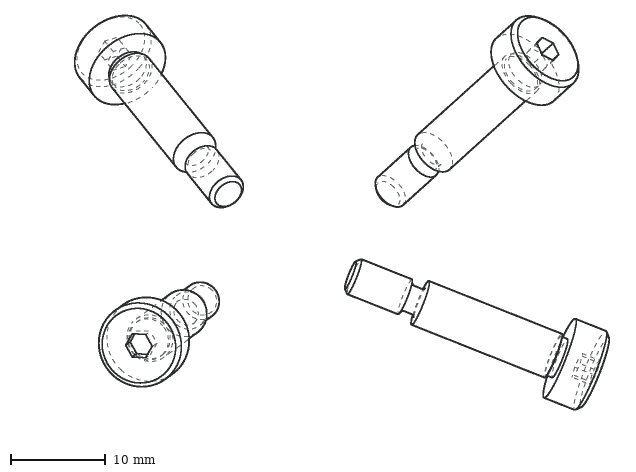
import cadquery as cq
import math

head_diameter = 9.0
head_length = 4.0
head_chamfer = 0.5

neck_diameter = 4.4
neck_length = 0.75

shoulder_diameter = 5.0
shoulder_length = 16.0

thread_diameter = 4.0
thread_length = 8.0
thread_chamfer = 0.43

groove_diameter = 2.9
groove_length = 1.75
groove_root_fillet = 0.4
groove_flank_angle = math.radians(65)

socket_across_flats = 2.5
socket_depth = 2.0

neck_end = head_length + neck_length
shoulder_end = head_length + shoulder_length
groove_end = shoulder_end + groove_length
screw_end = shoulder_end + thread_length

head_radius = head_diameter / 2
neck_radius = neck_diameter / 2
shoulder_radius = shoulder_diameter / 2
thread_radius = thread_diameter / 2
groove_radius = groove_diameter / 2

flank_length = (thread_radius - groove_radius) / math.tan(groove_flank_angle)
fillet_tangent = groove_root_fillet * math.tan(groove_flank_angle / 2)
floor_end = groove_end - flank_length - fillet_tangent
flank_start = floor_end + groove_root_fillet * math.sin(groove_flank_angle)
flank_start_radius = groove_radius + groove_root_fillet * (1 - math.cos(groove_flank_angle))


def turned_body():
    """Half profile in the XY plane, revolved about the X axis."""
    profile = (
        cq.Workplane("XY")
        .moveTo(0, 0)
        .lineTo(0, head_radius - head_chamfer)
        .lineTo(head_chamfer, head_radius)
        .lineTo(head_length, head_radius)
        .lineTo(head_length, neck_radius)
        .lineTo(neck_end, neck_radius)
        .lineTo(neck_end, shoulder_radius)
        .lineTo(shoulder_end, shoulder_radius)
        .lineTo(shoulder_end, groove_radius + groove_root_fillet)
        .radiusArc((shoulder_end + groove_root_fillet, groove_radius), -groove_root_fillet)
        .lineTo(floor_end, groove_radius)
        .radiusArc((flank_start, flank_start_radius), -groove_root_fillet)
        .lineTo(groove_end, thread_radius)
        .lineTo(screw_end - thread_chamfer, thread_radius)
        .lineTo(screw_end, thread_radius - thread_chamfer)
        .lineTo(screw_end, 0)
        .close()
    )
    return profile.revolve(360, (0, 0, 0), (1, 0, 0))


def hex_socket():
    """Hexagonal prism sunk from the head face, with two corners on the Y axis."""
    across_corners = socket_across_flats / math.cos(math.pi / 6)
    return cq.Workplane("YZ").polygon(6, across_corners).extrude(socket_depth)


result = turned_body().cut(hex_socket())